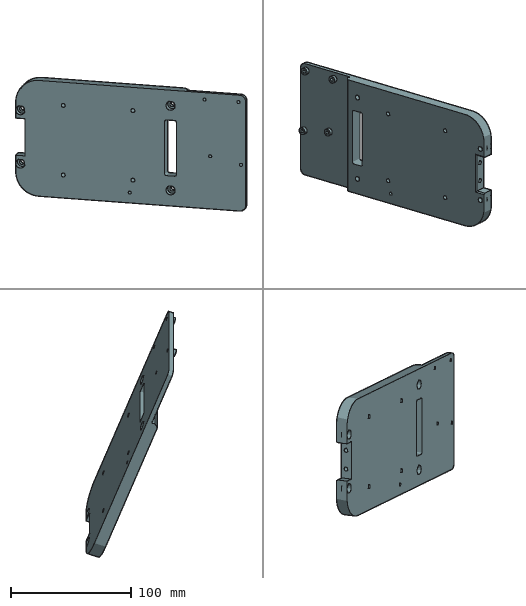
import cadquery as cq


length = 198.0
width = 100.0
thickness = 10.0
notch_end_radius = 20.0
thin_end_radius = 5.0

step_x = 146.3
thin_thickness = 4.0
step_chamfer = 3.0

notch_depth = 8.0
notch_width = 32.0
notch_chamfer = 1.0
notch_hole_diameter = 3.3
notch_hole_depth = 15.0
notch_hole_offset = 8.0

slot_x = 133.3
slot_width = 10.0
slot_length = 48.0
slot_corner_radius = 1.5

screw_diameter = 4.1
counterbore_diameter = 7.6
counterbore_depth = 5.3
end_screw_x = 4.0
end_screw_offset = 23.0
slot_screw_offset = 36.5

pattern_diameter = 3.3
pattern_center_x = 71.0
pattern_pitch = 60.0

small_diameter = 2.5
small_hole_point = (98.2, -41.0)
standoff_points = [(162.6, 44.1), (191.8, 44.1), (167.5, -4.5), (194.0, -10.0)]
standoff_diameter = 6.0
standoff_height = 3.0


def prism(sketch, depth):
    """Extrude a sketch drawn in X and Z towards +Y (the XZ plane faces -Y)."""
    return sketch.extrude(-depth)


def cylinders(points, diameter, depth):
    """Cylinders along +Y from the flat face, centred on (X, Z) points."""
    return prism(cq.Workplane("XZ").pushPoints(points).circle(diameter / 2), depth)


def make_plate():
    outline = cq.Workplane("XZ").center(length / 2, 0).rect(length, width)
    plate = prism(outline, thickness)
    plate = plate.edges("|Y and <X").fillet(notch_end_radius)
    return plate.edges("|Y and >X").fillet(thin_end_radius)


def make_step_cutter():
    """Material behind the thin end, with the chamfer on the back edge of the step."""
    return (
        cq.Workplane("XY", origin=(0, 0, -width / 2))
        .moveTo(step_x, thin_thickness)
        .lineTo(step_x, thickness - step_chamfer)
        .lineTo(step_x - step_chamfer, thickness)
        .lineTo(length, thickness)
        .lineTo(length, thin_thickness)
        .close()
        .extrude(width)
    )


def make_notch_cutter():
    """Notch through the thickness, widened by a chamfer at the back face."""
    notch = prism(cq.Workplane("XZ").rect(2 * notch_depth, notch_width), thickness)
    growth = 2 * notch_chamfer
    flare = (
        cq.Workplane("XZ", origin=(0, thickness - notch_chamfer, 0))
        .rect(2 * notch_depth, notch_width)
        .workplane(offset=-notch_chamfer)
        .rect(2 * notch_depth + growth, notch_width + growth)
        .loft(ruled=True)
    )
    return notch.union(flare)


def make_notch_holes():
    points = [(0, -notch_hole_offset), (0, notch_hole_offset)]
    return (
        cq.Workplane("YZ", origin=(notch_depth, thickness / 2, 0))
        .pushPoints(points)
        .circle(notch_hole_diameter / 2)
        .extrude(notch_hole_depth)
    )


def make_slot_cutter():
    outline = cq.Workplane("XZ").center(slot_x, 0).rect(slot_width, slot_length)
    return prism(outline, thickness).edges("|Y").fillet(slot_corner_radius)


def make_screw_holes():
    points = []
    for side in (-1, 1):
        points.append((end_screw_x, side * end_screw_offset))
        points.append((slot_x, side * slot_screw_offset))
    through = cylinders(points, screw_diameter, thickness)
    return through.union(cylinders(points, counterbore_diameter, counterbore_depth))


def make_pattern_holes():
    half_pitch = pattern_pitch / 2
    points = [
        (pattern_center_x + x_side * half_pitch, z_side * half_pitch)
        for x_side in (-1, 1)
        for z_side in (-1, 1)
    ]
    return cylinders(points, pattern_diameter, thickness)


def make_standoffs():
    """Standoffs on the back of the thin end, rooted through its thickness."""
    return cylinders(standoff_points, standoff_diameter, thin_thickness + standoff_height)


def make_small_holes():
    points = standoff_points + [small_hole_point]
    return cylinders(points, small_diameter, thickness)


result = make_plate().cut(make_step_cutter())
result = result.union(make_standoffs())
result = result.cut(make_notch_cutter())
result = result.cut(make_notch_holes())
result = result.cut(make_slot_cutter())
result = result.cut(make_screw_holes())
result = result.cut(make_pattern_holes())
result = result.cut(make_small_holes())